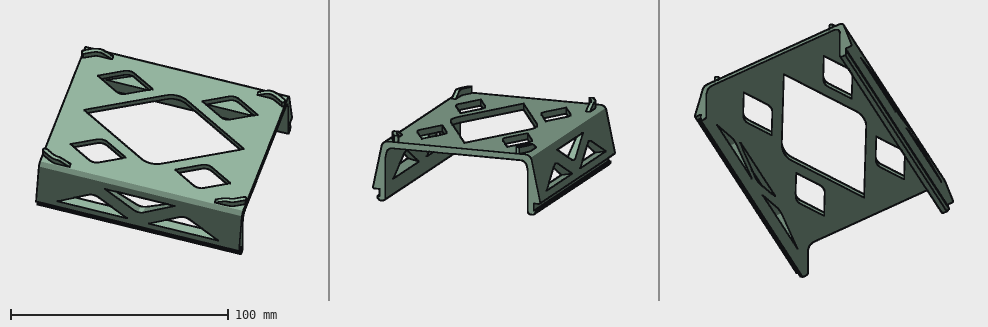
import cadquery as cq
import math

length = 98.0
width = 82.31
body_height = 28.39
wall = 3.0

lean = math.radians(12.0)
inner_half_width = 35.0
outer_fillet = 3.0
inner_fillet = 3.0

ledge_height = 5.4
ledge_fillet = 0.8
hook_height = 2.0
hook_reach = 1.0
hook_chamfer = 1.2
foot_fillet = 1.5

window_slope = math.radians(30.0)

large_diamond_half_length = 38.6
large_diamond_fillet = 10.0
small_diamond_half_length = 13.35
small_diamond_fillet = 5.0
small_diamond_y = 21.0

triangle_half_length = 16.8
triangle_fillet = 5.0
triangle_x = 22.0
lower_triangle_base_z = 9.3
upper_triangle_base_z = 23.2

tab_height = 3.0
tab_length = 14.0
tab_width = 2.0
tab_bend_radius = 8.0
tab_bend_angle = math.radians(30.0)
tab_bend_start = 8.0
tab_end_radius = 1.1
tab_end_inset = 0.3
tab_ramp_angle = math.radians(30.0)
tab_ramp_fillet = 3.0

ledge_corner_y = width / 2 + ledge_fillet * ((1 + math.sin(lean)) / math.cos(lean) - 1)
top_corner_y = ledge_corner_y - (body_height - ledge_height) * math.tan(lean)
fillet_tangent = outer_fillet * math.tan((math.pi / 2 - lean) / 2)
flat_half_width = top_corner_y - fillet_tangent


def outer_face_y(z):
    """Half width of the leaning outer faces at height z."""
    return top_corner_y + (body_height - z) * math.tan(lean)


def polygon_prism(plane, points, depth):
    """Prism on a closed polygon, extruded along the plane normal."""
    return cq.Workplane(plane).polyline(points).close().extrude(depth)


def edges_at(solid, places):
    """Edges parallel to X that pass through the given (y, z) places."""
    tolerance = 0.01

    def is_at_a_place(edge):
        center = edge.Center()
        return any(math.hypot(center.y - y, center.z - z) < tolerance for y, z in places)

    return solid.edges("|X").filter(is_at_a_place)


def make_body():
    ceiling_z = body_height - wall
    groove_y = inner_half_width + wall
    hook_y = groove_y + hook_reach
    inner_offset = wall / math.cos(lean)
    inner_corner_y = outer_face_y(ceiling_z) - inner_offset
    inner_bend_z = body_height - (inner_half_width + inner_offset - top_corner_y) / math.tan(lean)

    half = [
        (top_corner_y, body_height),
        (ledge_corner_y, ledge_height),
        (groove_y, ledge_height),
        (groove_y, hook_height),
        (hook_y, hook_height),
        (hook_y, hook_chamfer),
        (hook_y - hook_chamfer, 0),
        (inner_half_width, 0),
        (inner_half_width, inner_bend_z),
        (inner_corner_y, ceiling_z),
    ]
    mirrored = [(-y, z) for y, z in reversed(half)]
    body = polygon_prism("YZ", half + mirrored, length).translate((-length / 2, 0, 0))

    for y, z, radius in (
        (top_corner_y, body_height, outer_fillet),
        (inner_corner_y, ceiling_z, inner_fillet),
        (ledge_corner_y, ledge_height, ledge_fillet),
        (inner_half_width, 0, foot_fillet),
    ):
        body = edges_at(body, [(y, z), (-y, z)]).fillet(radius)
    return body


def diamond(x, y, half_length, radius):
    """Diamond cutter through the top plate, its two wide corners rounded."""
    half_height = half_length * math.tan(window_slope)
    points = [(-half_length, 0), (0, half_height), (half_length, 0), (0, -half_height)]
    depth = 2 * wall
    cutter = polygon_prism("XY", points, depth)
    cutter = cutter.edges("|Z and (>Y or <Y)").fillet(radius)
    return cutter.translate((x, y, body_height - wall / 2 - depth / 2))


def triangle(x, base_z, direction):
    """Triangle cutter square to the front leg's outer face; direction +1 points up, -1 down."""
    depth = 4 * wall
    plane = cq.Plane(
        origin=(x, -outer_face_y(base_z), base_z),
        xDir=(1, 0, 0),
        normal=(0, -math.cos(lean), math.sin(lean)),
    )
    apex = direction * triangle_half_length * math.tan(window_slope)
    points = [(-triangle_half_length, 0), (triangle_half_length, 0), (0, apex)]
    cutter = polygon_prism("XY", points, depth)
    cutter = cutter.edges("|Z").edges(">Y" if direction > 0 else "<Y").fillet(triangle_fillet)
    cutter = cutter.translate((0, 0, -depth / 2))
    return cq.Workplane(cutter.val().moved(plane.location))


def make_tab():
    """Tab at the -X, +Y corner: a straight stretch with a ramp, a bend and a round end."""
    end_x = -length / 2
    bend_x = end_x + tab_bend_start
    toe_x = end_x + tab_length
    tab_top = body_height + tab_height
    root_z = body_height - wall / 2
    center_y = flat_half_width - tab_bend_radius
    inner_radius = tab_bend_radius - tab_width

    def on_bend(radius, angle):
        return (bend_x - radius * math.sin(angle), center_y + radius * math.cos(angle))

    bend_end_x, bend_end_y = on_bend(tab_bend_radius, tab_bend_angle)
    slope = math.tan(tab_bend_angle)
    outer_end_x = end_x + tab_end_inset
    outer_end = (outer_end_x, bend_end_y - (bend_end_x - outer_end_x) * slope)

    arc_x = end_x + tab_end_radius
    arc_y = outer_end[1] - math.sqrt(tab_end_radius**2 - (tab_end_radius - tab_end_inset) ** 2)
    inner_bend_end = on_bend(inner_radius, tab_bend_angle)
    inner_side_y = inner_bend_end[1] - (inner_bend_end[0] - arc_x) * slope
    distance = (arc_y - inner_side_y) * math.cos(tab_bend_angle)
    along = math.sqrt(tab_end_radius**2 - distance**2)
    inner_end = (
        arc_x + distance * math.sin(tab_bend_angle) - along * math.cos(tab_bend_angle),
        arc_y - distance * math.cos(tab_bend_angle) - along * math.sin(tab_bend_angle),
    )

    plan = (
        cq.Workplane("XY", origin=(0, 0, root_z))
        .moveTo(toe_x, flat_half_width)
        .lineTo(bend_x, flat_half_width)
        .threePointArc(on_bend(tab_bend_radius, tab_bend_angle / 2), (bend_end_x, bend_end_y))
        .lineTo(*outer_end)
        .threePointArc((end_x, arc_y), inner_end)
        .lineTo(*inner_bend_end)
        .threePointArc(on_bend(inner_radius, tab_bend_angle / 2), (bend_x, flat_half_width - tab_width))
        .lineTo(toe_x, flat_half_width - tab_width)
        .close()
        .extrude(tab_top - root_z)
    )

    ramp_top_x = toe_x - tab_height / math.tan(tab_ramp_angle)
    side = [
        (end_x, root_z),
        (toe_x, root_z),
        (toe_x, body_height),
        (ramp_top_x, tab_top),
        (end_x, tab_top),
    ]
    envelope = polygon_prism("XZ", side, -width / 2)
    envelope = envelope.edges("|Y").edges(">Z").edges(">X").fillet(tab_ramp_fillet)
    return plan.intersect(envelope)


def make_part():
    part = make_body()

    part = part.cut(diamond(0, 0, large_diamond_half_length, large_diamond_fillet))
    small_diamond_x = large_diamond_half_length - small_diamond_half_length
    for x in (-small_diamond_x, small_diamond_x):
        for y in (-small_diamond_y, small_diamond_y):
            part = part.cut(diamond(x, y, small_diamond_half_length, small_diamond_fillet))

    for cutter in (
        triangle(-triangle_x, lower_triangle_base_z, 1),
        triangle(triangle_x, lower_triangle_base_z, 1),
        triangle(0, upper_triangle_base_z, -1),
    ):
        part = part.cut(cutter).cut(cutter.mirror("XZ"))

    left_tab = make_tab()
    for tab in (left_tab, left_tab.mirror("YZ")):
        part = part.union(tab).union(tab.mirror("XZ"))
    return part


result = make_part()